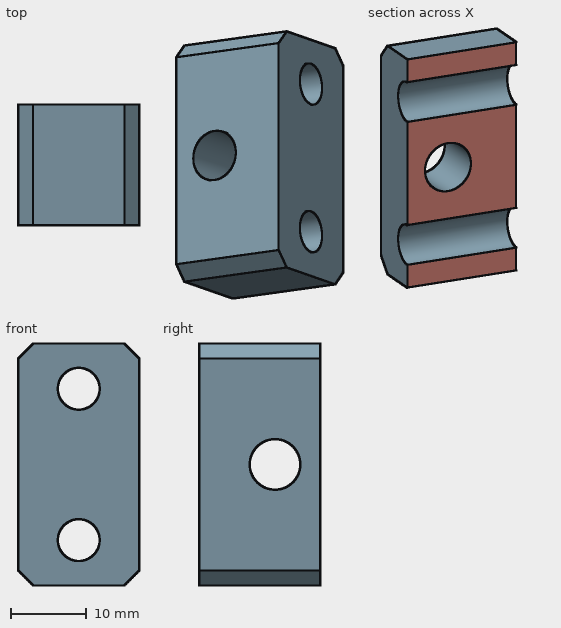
import cadquery as cq

width = 16.0
depth = 16.0
height = 32.0
chamfer = 2.0

mount_hole_diameter = 5.5
mount_hole_spacing = 20.0

cross_hole_diameter = 6.65
cross_hole_offset = 2.0


def chamfered_block():
    block = cq.Workplane("XY").box(width, depth, height)
    return block.edges("|Y").chamfer(chamfer)


def mount_holes():
    return (
        cq.Workplane("XZ")
        .rarray(0.32, mount_hole_spacing, 1, 2)
        .circle(mount_hole_diameter / 2)
        .extrude(depth / 2, both=True)
    )


def cross_hole():
    return (
        cq.Workplane("YZ")
        .center(cross_hole_offset, 0)
        .circle(cross_hole_diameter / 2)
        .extrude(width / 2, both=True)
    )


result = chamfered_block().cut(mount_holes()).cut(cross_hole())